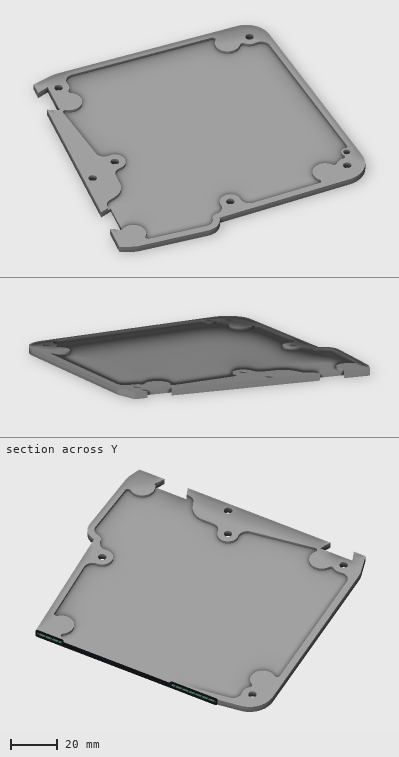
import cadquery as cq
import math

thickness = 3.0
pocket_depth = 1.3
border = 3.0

bottom_y = -58.48
bend_radius = 12.0
corner_radius = 11.0
shoulder_radius = 7.0
outline_corners = [
    ((-53.05, bottom_y), 0),
    ((-56.22, -48.2), bend_radius),
    ((-59.67, 45.38), corner_radius),
    ((47.67, 59.97), corner_radius),
    ((53.32, -12.1), 0),
    ((59.42, -13.9), shoulder_radius),
    ((58.78, -51.9), bend_radius),
    ((56.65, bottom_y), 0),
]

notch_xs = (-41.65, 38.87)
notch_mouth = 11.3
notch_depth = 5.1
notch_slope = 0.43

hole_diameter = 3.6
boss_radius = 4.6
top_left_hole = (-51.0, 38.2)
top_right_hole = (39.9, 50.2)
bottom_left_hole = (-47.5, -49.2)
right_hole = (45.06, -4.35)
middle_hole = (4.8, -42.28)
bottom_hole = (11.5, -54.67)
screw_holes = [top_left_hole, top_right_hole, bottom_left_hole, right_hole, middle_hole, bottom_hole]
boss_holes = [top_left_hole, top_right_hole, bottom_left_hole, right_hole, middle_hole]

pin_hole = (31.82, 52.84)
pin_hole_diameter = 3.0
pin_wall_radius = 2.4

pad_radius = 5.5
pads = [(-50.55, 28.17), (40.71, 40.03), (-37.74, -47.8), (50.55, -50.09)]

land_ramp_start = (-33.85, -52.9)
land_ramp_slope = 0.155
land_top_y = -44.8
land_end_x = 18.6
land_end_radius = 8.0
land_foot_height = 3.7

pocket_radius = 4.0
pad_corner_radius = 1.2


def toward(start, end, distance):
    """Point at a distance from start on the way to end."""
    ratio = distance / math.dist(start, end)
    return (start[0] + (end[0] - start[0]) * ratio, start[1] + (end[1] - start[1]) * ratio)


def corner_arc(before, corner, after, radius):
    """Start, middle and end of the arc that rounds a corner."""
    half_angle = math.acos(
        ((before[0] - corner[0]) * (after[0] - corner[0]) + (before[1] - corner[1]) * (after[1] - corner[1]))
        / (math.dist(before, corner) * math.dist(after, corner))
    ) / 2
    setback = radius / math.tan(half_angle)
    start = toward(corner, before, setback)
    end = toward(corner, after, setback)
    chord_middle = ((start[0] + end[0]) / 2, (start[1] + end[1]) / 2)
    middle = toward(corner, chord_middle, radius / math.sin(half_angle) - radius)
    return start, middle, end


def rounded_outline(corners):
    """Closed wire through the corners, each rounded by its own radius."""
    outline = cq.Workplane("XY").moveTo(*corners[0][0])
    for i in range(1, len(corners)):
        corner, radius = corners[i]
        if radius == 0:
            outline = outline.lineTo(*corner)
            continue
        before = corners[i - 1][0]
        after = corners[(i + 1) % len(corners)][0]
        start, middle, end = corner_arc(before, corner, after, radius)
        outline = outline.lineTo(*start).threePointArc(middle, end)
    return outline.close()


def discs(centres, radius, height):
    return cq.Workplane("XY").pushPoints(centres).circle(radius).extrude(height)


def polygon(points, height):
    return cq.Workplane("XY").polyline(points).close().extrude(height)


def prism(wire, height):
    return cq.Workplane("XY").add(wire).toPending().extrude(height)


def round_inside_corners(region, radius):
    """Shrink and regrow a flat region so a round cutter of this radius reaches all of it.

    Gaps narrower than the cutter close up, which joins islands near the edge to the edge.
    """
    face = region.faces("<Z").val()
    shrunk = prism(face.outerWire().offset2D(-radius, "arc")[0], pocket_depth)
    for island in face.innerWires():
        shrunk = shrunk.cut(prism(island.offset2D(radius, "arc")[0], pocket_depth))
    regrown = cq.Workplane("XY")
    for piece in shrunk.faces("<Z").vals():
        regrown = regrown.union(prism(piece.outerWire().offset2D(radius, "arc")[0], pocket_depth))
    return regrown


def make_notches():
    """Dovetail cutters, wider inside the plate than at its edge."""
    half_mouth = notch_mouth / 2
    half_inner = half_mouth + notch_slope * notch_depth
    top_y = bottom_y + notch_depth
    cutters = cq.Workplane("XY")
    for x in notch_xs:
        cutters = cutters.union(polygon(
            [
                (x - half_mouth, bottom_y),
                (x + half_mouth, bottom_y),
                (x + half_inner, top_y),
                (x - half_inner, top_y),
            ],
            thickness,
        ))
    return cutters


def make_land():
    """Land with a ramp up to the middle boss and a round end beside the right notch."""
    ramp_end = (
        middle_hole[0],
        land_ramp_start[1] + land_ramp_slope * (middle_hole[0] - land_ramp_start[0]),
    )
    end_centre = (land_end_x, land_top_y - land_end_radius)
    flank_angle = math.atan(notch_slope)
    flank_top = (
        end_centre[0] + land_end_radius * math.cos(flank_angle),
        end_centre[1] + land_end_radius * math.sin(flank_angle),
    )
    foot_y = bottom_y + land_foot_height
    flank_foot = (flank_top[0] + notch_slope * (flank_top[1] - foot_y), foot_y)
    right_notch_x = notch_xs[1]
    body = polygon(
        [
            (bottom_left_hole[0], bottom_y),
            bottom_left_hole,
            land_ramp_start,
            ramp_end,
            (middle_hole[0], land_top_y),
            (land_end_x, land_top_y),
            end_centre,
            flank_top,
            flank_foot,
            (right_notch_x, foot_y),
            (right_notch_x, bottom_y),
        ],
        pocket_depth,
    )
    return body.union(discs([end_centre], land_end_radius, pocket_depth))


def make_pocket():
    """Pocket volume: a main contour for the large cutter, then pads and pin wall left standing."""
    region = rounded_outline(outline_corners).offset2D(-border).extrude(pocket_depth)
    region = region.cut(discs(boss_holes, boss_radius, pocket_depth)).cut(make_land())
    region = round_inside_corners(region, pocket_radius)
    region = region.cut(discs(pads, pad_radius, pocket_depth))
    region = region.cut(discs([pin_hole], pin_wall_radius, pocket_depth))
    region = round_inside_corners(region, pad_corner_radius)
    return region.translate((0, 0, thickness - pocket_depth))


result = rounded_outline(outline_corners).extrude(thickness)
result = result.cut(make_pocket()).cut(make_notches())
result = result.cut(discs(screw_holes, hole_diameter / 2, thickness))
result = result.cut(discs([pin_hole], pin_hole_diameter / 2, thickness))